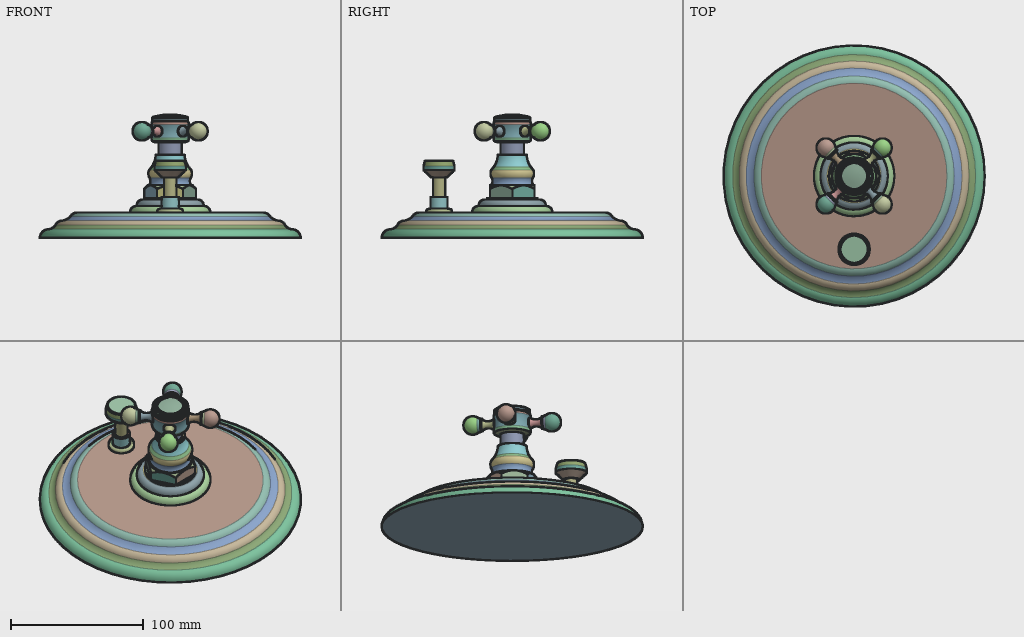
import cadquery as cq
import math

plate_radius = 98.5
plate_edges = [(91.5, 6.5), (86.6, 9.5), (81.3, 13.0), (75.4, 16.0), (69.9, 19.0)]
plate_top = plate_edges[-1][1]

base_radius = 30.3
base_step = 5.0
base_step_count = 2
base_top = plate_top + base_step_count * base_step

washer_radius = 19.0
washer_thickness = 1.0
washer_top = base_top + washer_thickness
nut_sides = 6
nut_across_flats = 33.9
nut_top = 39.5
nut_top_radius = 16.7

body_foot_radius = 16.0
cove_top = (15.5, 45.0)
cove_depth = 0.8
bead_top = (16.0, 51.0)
bead_bulge = 0.8
flare_foot = (14.0, 53.3)
flare_top = (11.0, 61.8)
flare_depth = 0.5
body_top = 62.5
body_edge_break = 0.4
stem_radius = 8.9

hub_bottom = 71.7
hub_bottom_radius = 10.0
hub_radius = 14.2
hub_edge_radius = 13.5
hub_edge_bottom = 72.8
hub_waist_bottom = 75.2
hub_waist_top = 85.2
hub_waist_depth = 0.8
hub_edge_top = 87.4
hub_rim_bulge = 0.2

cap_radius = hub_edge_radius
cap_groove_width = 0.8
cap_groove_depth = 0.4
cap_band_top = 90.4
cap_rim_radius = 12.4
cap_rim_height = 91.1
cap_top = 93.0
ring_groove_outer = 11.0
ring_groove_inner = 9.8
ring_groove_floor = 91.0

arm_count = 4
arm_start_angle = 45
arm_height = (hub_waist_bottom + hub_waist_top) / 2
ball_distance = 30.1
ball_radius = 7.0
ball_neck_distance = 26.0
arm_root_distance = 13.4
arm_root_radius = 4.5
arm_waist_distance = 18.3
arm_waist_radius = 2.8
collar_inner = 22.8
collar_outer = 23.8
collar_radius = 5.0
arm_collar_end_radius = 4.3

knob_y = -55.1
knob_foot_radius = 9.6
knob_foot_top_radius = 7.7
knob_foot_top = 21.9
sleeve_radius = 6.5
sleeve_top = 30.7
rod_radius = 4.7
head_bottom = 45.5
head_bottom_radius = 6.1
head_radius = 11.8
head_band_bottom = 51.0
head_band_top = 54.0
head_shoulder = (10.8, 57.7)
head_top = 58.3
head_edge_break = 0.5

CONVEX = -1
CONCAVE = 1

cove_fullness = 0.75


def moulding(profile, start, end, side):
    """Add a round that ends level at its top, or a cove that starts nearly level at its bottom."""
    across = start[0] - end[0]
    rise = end[1] - start[1]
    chord = math.hypot(across, rise)
    half_sweep = math.atan2(rise, across)
    sagitta = chord / 2 * math.tan(half_sweep / 2)
    if side == CONCAVE:
        sagitta *= cove_fullness
    return profile.sagittaArc(end, side * sagitta)


def revolve_about_z(profile):
    return profile.close().revolve(360, (0, 0), (0, 1))


def make_plate():
    edge = (plate_radius, 0)
    profile = cq.Workplane("XZ").lineTo(*edge)
    side = CONVEX
    for next_edge in plate_edges:
        profile = moulding(profile, edge, next_edge, side)
        edge = next_edge
        side = -side
    return revolve_about_z(profile.lineTo(0, plate_top))


def make_base():
    edge = (base_radius, plate_top)
    profile = cq.Workplane("XZ").lineTo(base_radius, 0).lineTo(*edge)
    for step in range(1, base_step_count + 1):
        next_edge = (base_radius - step * base_step, plate_top + step * base_step)
        profile = moulding(profile, edge, next_edge, CONVEX)
        edge = next_edge
    return revolve_about_z(profile.lineTo(0, base_top))


def make_nut():
    corner_radius = nut_across_flats / 2 / math.cos(math.pi / nut_sides)
    prism = (
        cq.Workplane("XY")
        .workplane(offset=washer_top)
        .polygon(nut_sides, 2 * corner_radius)
        .extrude(nut_top - washer_top)
    )
    chamfer = corner_radius - nut_top_radius
    envelope = (
        cq.Workplane("XY")
        .workplane(offset=washer_top)
        .circle(corner_radius)
        .extrude(nut_top - washer_top)
        .faces(">Z")
        .chamfer(chamfer)
    )
    washer = cq.Workplane("XY").circle(washer_radius).extrude(washer_top)
    return prism.intersect(envelope).union(washer)


def make_body():
    profile = (
        cq.Workplane("XZ")
        .lineTo(body_foot_radius, 0)
        .lineTo(body_foot_radius, nut_top)
        .sagittaArc(cove_top, CONCAVE * cove_depth)
        .sagittaArc(bead_top, CONVEX * bead_bulge)
        .lineTo(*flare_foot)
        .sagittaArc(flare_top, CONCAVE * flare_depth)
        .lineTo(flare_top[0], body_top - body_edge_break)
        .lineTo(flare_top[0] - body_edge_break, body_top)
        .lineTo(stem_radius, body_top)
        .lineTo(stem_radius, hub_bottom)
        .lineTo(0, hub_bottom)
    )
    return revolve_about_z(profile)


def make_hub():
    groove_top = hub_edge_top + cap_groove_width
    profile = (
        cq.Workplane("XZ")
        .moveTo(0, hub_bottom)
        .lineTo(hub_bottom_radius, hub_bottom)
        .sagittaArc((hub_edge_radius, hub_edge_bottom), CONVEX * hub_rim_bulge)
        .sagittaArc((hub_radius, hub_waist_bottom), CONVEX * hub_rim_bulge)
        .sagittaArc((hub_radius, hub_waist_top), CONCAVE * hub_waist_depth)
        .sagittaArc((hub_edge_radius, hub_edge_top), CONVEX * hub_rim_bulge)
        .lineTo(cap_radius - cap_groove_depth, hub_edge_top)
        .lineTo(cap_radius - cap_groove_depth, groove_top)
        .lineTo(cap_radius, groove_top)
        .lineTo(cap_radius, cap_band_top)
        .lineTo(cap_rim_radius, cap_rim_height)
    )
    profile = moulding(profile, (cap_rim_radius, cap_rim_height), (0, cap_top), CONVEX)
    ring_groove = (
        cq.Workplane("XY")
        .workplane(offset=ring_groove_floor)
        .circle(ring_groove_outer)
        .circle(ring_groove_inner)
        .extrude(cap_top - ring_groove_floor)
    )
    return revolve_about_z(profile).cut(ring_groove)


def make_arm():
    """One arm along +X, turned about its own axis."""
    ball_neck_radius = math.sqrt(ball_radius**2 - (ball_distance - ball_neck_distance) ** 2)
    profile = (
        cq.Workplane("XZ")
        .lineTo(0, arm_root_radius)
        .lineTo(arm_root_distance, arm_root_radius)
        .threePointArc((arm_waist_distance, arm_waist_radius), (collar_inner, arm_collar_end_radius))
        .lineTo(collar_inner, collar_radius)
        .lineTo(collar_outer, collar_radius)
        .lineTo(ball_neck_distance, ball_neck_radius)
        .threePointArc((ball_distance, ball_radius), (ball_distance + ball_radius, 0))
    )
    return profile.close().revolve(360, (0, 0), (1, 0)).translate((0, 0, arm_height))


def make_knob():
    foot_edge = (knob_foot_radius, plate_top)
    profile = cq.Workplane("XZ").lineTo(knob_foot_radius, 0).lineTo(*foot_edge)
    profile = moulding(profile, foot_edge, (knob_foot_top_radius, knob_foot_top), CONVEX)
    profile = (
        profile.lineTo(sleeve_radius, knob_foot_top)
        .lineTo(sleeve_radius, sleeve_top)
        .lineTo(rod_radius, sleeve_top)
        .lineTo(rod_radius, head_bottom)
        .lineTo(head_bottom_radius, head_bottom)
        .lineTo(head_radius, head_band_bottom)
        .lineTo(head_radius, head_band_top)
        .lineTo(*head_shoulder)
        .lineTo(head_shoulder[0] - head_edge_break, head_top)
        .lineTo(0, head_top)
    )
    return revolve_about_z(profile).translate((0, knob_y, 0))


result = make_plate().union(make_base()).union(make_nut()).union(make_body()).union(make_hub())
for index in range(arm_count):
    angle = arm_start_angle + index * 360 / arm_count
    result = result.union(make_arm().rotate((0, 0, 0), (0, 0, 1), angle))
result = result.union(make_knob())